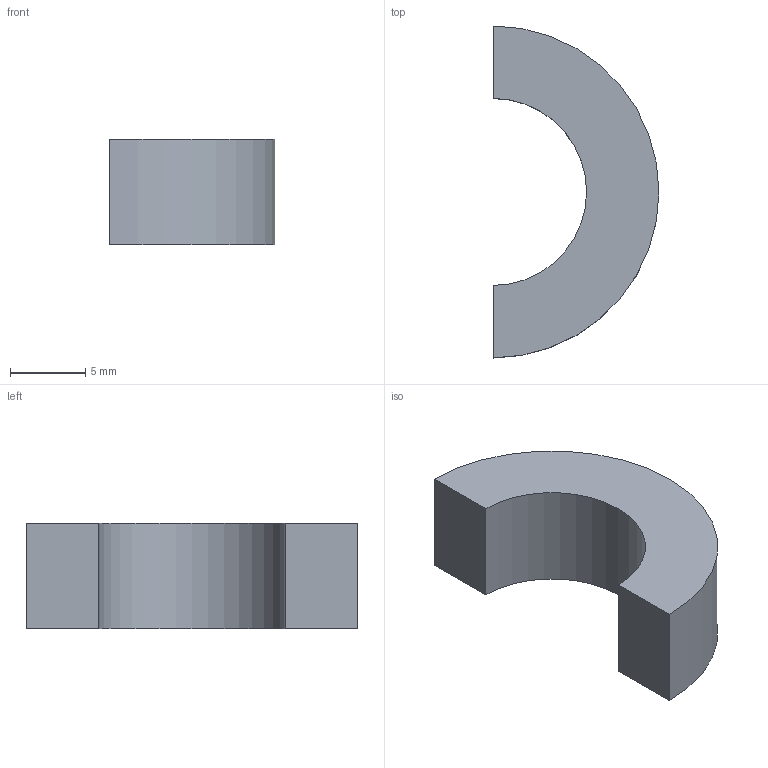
import cadquery as cq

outer_radius = 11.0
inner_radius = 6.2
height = 7.0


def half_ring_profile():
    """Half annulus in the XY plane, centred on the origin."""
    return (
        cq.Workplane("XY")
        .moveTo(0, -outer_radius)
        .threePointArc((outer_radius, 0), (0, outer_radius))
        .lineTo(0, inner_radius)
        .threePointArc((inner_radius, 0), (0, -inner_radius))
        .close()
    )


result = half_ring_profile().extrude(height)